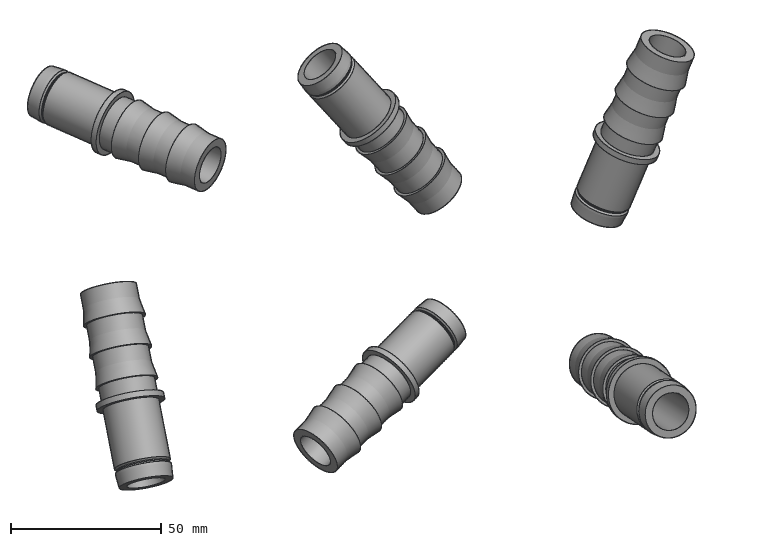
import cadquery as cq

length = 67.0
bore_diameter = 13.0
body_diameter = 19.0
body_radius = body_diameter / 2

nose_length = 3.95
nose_tip_diameter = 18.3

groove_start = 4.9
groove_end = 6.5
groove_floor_width = 0.4
groove_depth = 0.6

collar_diameter = 23.0
collar_start = 27.0
collar_width = 2.0
collar_end = collar_start + collar_width

barb_diameter = 21.05
barb_count = 3
band_length = (length - collar_end) / (2 * barb_count + 1)


def cylinder(start, end, diameter):
    """Solid cylinder on the X axis."""
    return cq.Workplane("YZ", origin=(start, 0, 0)).circle(diameter / 2).extrude(end - start)


def revolved(points):
    """Solid of revolution about X from (axial position, radius) points."""
    return cq.Workplane("XZ").polyline(points).close().revolve(axisStart=(0, 0, 0), axisEnd=(1, 0, 0))


def body():
    """Round body with the tapered nose."""
    return revolved([
        (0, 0),
        (0, nose_tip_diameter / 2),
        (nose_length, body_radius),
        (length, body_radius),
        (length, 0),
    ])


def groove_cutter():
    """Ring whose section is the groove, closed off at the body surface."""
    middle = (groove_start + groove_end) / 2
    floor_radius = body_radius - groove_depth
    return revolved([
        (groove_start, body_radius),
        (middle - groove_floor_width / 2, floor_radius),
        (middle + groove_floor_width / 2, floor_radius),
        (groove_end, body_radius),
    ])


def barb(start):
    """Barb with a square shoulder facing -X, tapering down to the body towards +X."""
    return revolved([
        (start, 0),
        (start, barb_diameter / 2),
        (start + band_length, body_radius),
        (start + band_length, 0),
    ])


result = body().cut(groove_cutter())
result = result.union(cylinder(collar_start, collar_end, collar_diameter))
for index in range(barb_count):
    result = result.union(barb(collar_end + (2 * index + 1) * band_length))
result = result.cut(cylinder(0, length, bore_diameter))